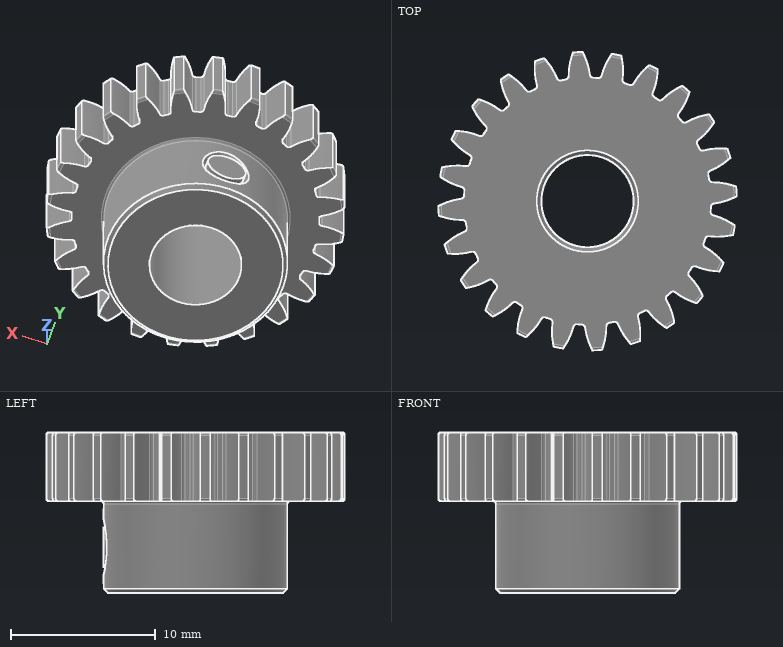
import cadquery as cq
import math

tooth_count = 24
first_tooth_angle = 3.75
overall_width = 20.63
root_radius = 8.55
mid_radius = 9.53
root_tooth_width = 1.5
mid_tooth_width = 1.24
tip_tooth_width = 0.65
root_fillet = 0.23
tip_rounding = 0.2

gear_thickness = 4.77
hub_length = 6.33
hub_radius = 6.35
hub_chamfer = 0.3
hub_fillet = 0.17
bore_radius = 3.18
bore_chamfer = 0.33

screw_radius = 1.38
countersink_radius = 1.92

gear_top = gear_thickness
hub_bottom = -hub_length
screw_height = -hub_length / 2
tooth_pitch = 2 * math.pi / tooth_count
clearance = 0.2

root_half_angle = root_tooth_width / 2 / root_radius
mid_half_angle = mid_tooth_width / 2 / mid_radius
tip_half_angle = tip_tooth_width / overall_width

tip_corner_angle = math.radians(first_tooth_angle) - tip_half_angle
tip_radius = overall_width / 2 / math.cos(tip_corner_angle)


def polar(radius, angle):
    return (radius * math.cos(angle), radius * math.sin(angle))


def make_tooth_gap():
    """Cutter for the gap between two teeth, centred on the X axis."""
    root_angle = tooth_pitch / 2 - root_half_angle
    mid_angle = tooth_pitch / 2 - mid_half_angle
    tip_angle = tooth_pitch / 2 - tip_half_angle
    outer_radius = tip_radius + clearance
    return (
        cq.Workplane("XY")
        .workplane(offset=-clearance)
        .moveTo(*polar(root_radius, root_angle))
        .threePointArc(polar(mid_radius, mid_angle), polar(tip_radius, tip_angle))
        .lineTo(*polar(outer_radius, tip_angle))
        .lineTo(*polar(outer_radius, -tip_angle))
        .lineTo(*polar(tip_radius, -tip_angle))
        .threePointArc(polar(mid_radius, -mid_angle), polar(root_radius, -root_angle))
        .threePointArc((root_radius, 0), polar(root_radius, root_angle))
        .close()
        .extrude(gear_thickness + 2 * clearance)
        .edges("|Z and <X")
        .fillet(root_fillet)
    )


def make_blank():
    """Turned blank: toothless gear disc, hub and chamfered bore."""
    return (
        cq.Workplane("XZ")
        .moveTo(bore_radius, hub_bottom)
        .lineTo(hub_radius - hub_chamfer, hub_bottom)
        .lineTo(hub_radius, hub_bottom + hub_chamfer)
        .lineTo(hub_radius, -hub_fillet)
        .radiusArc((hub_radius + hub_fillet, 0), hub_fillet)
        .lineTo(tip_radius - tip_rounding, 0)
        .radiusArc((tip_radius, tip_rounding), -tip_rounding)
        .lineTo(tip_radius, gear_top - tip_rounding)
        .radiusArc((tip_radius - tip_rounding, gear_top), -tip_rounding)
        .lineTo(bore_radius + bore_chamfer, gear_top)
        .lineTo(bore_radius, gear_top - bore_chamfer)
        .close()
        .revolve(360, (0, 0, 0), (0, 1, 0))
    )


def make_screw_hole():
    """Cutter for the set screw's hole and its 45 degree countersink."""
    countersink_depth = countersink_radius - screw_radius
    return (
        cq.Workplane("XY")
        .lineTo(screw_radius, 0)
        .lineTo(screw_radius, hub_radius - countersink_depth)
        .lineTo(countersink_radius, hub_radius)
        .lineTo(countersink_radius, hub_radius + clearance)
        .lineTo(0, hub_radius + clearance)
        .close()
        .revolve(360, (0, 0, 0), (0, 1, 0))
        .translate((0, 0, screw_height))
    )


def make_gear():
    gear = make_blank().cut(make_screw_hole())
    gap = make_tooth_gap()
    for index in range(tooth_count):
        gap_angle = first_tooth_angle + (index + 0.5) * 360 / tooth_count
        gear = gear.cut(gap.rotate((0, 0, 0), (0, 0, 1), gap_angle))
    return gear


def make_set_screw():
    """Headless screw from the bore to the outside of the hub."""
    return (
        cq.Workplane("XZ", origin=(0, bore_radius, screw_height))
        .circle(screw_radius)
        .extrude(-(hub_radius - bore_radius))
    )


gear = make_gear()
set_screw = make_set_screw()

result = cq.Compound.makeCompound([gear.solids().val(), set_screw.val()])